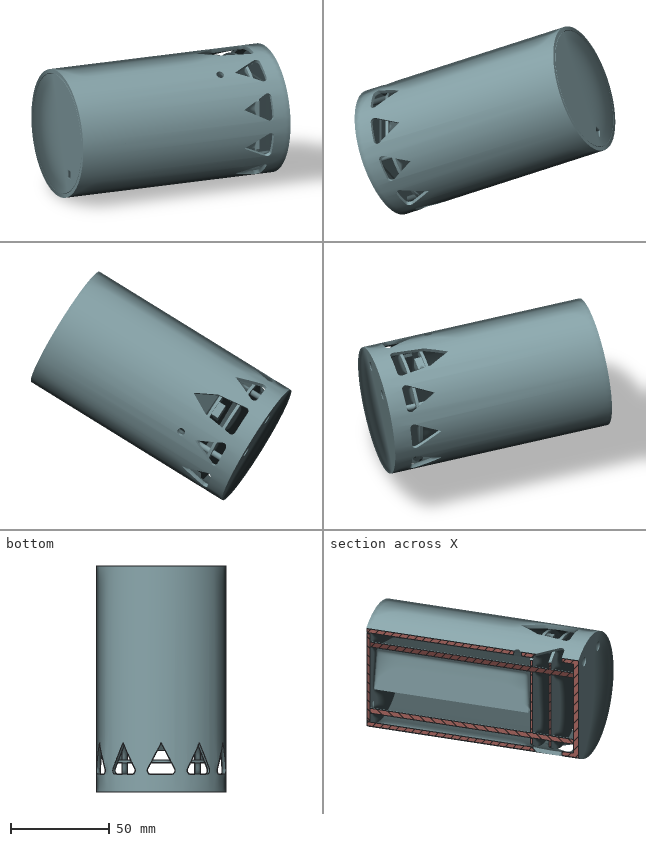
import cadquery as cq
import math

LENGTH = 115.0
OUTER_DIAMETER = 66.0
INNER_DIAMETER = 62.0
END_WALL = 3.0
INNER_END = LENGTH - END_WALL

WINDOW_COUNT = 10
WINDOW_PITCH = 360 / WINDOW_COUNT
WINDOW_BASE_Y = 105.9
WINDOW_HALF_WIDTH = 8.3
WINDOW_DEPTH = 15.9
WINDOW_CORNER_RADIUS = 2.0
TALL_WINDOW_APEX_Y = 77.0
TALL_WINDOW_SHOULDER_Y = 88.1
TALL_WINDOW_SHOULDER_HALF_WIDTH = 6.0

SIDE_HOLE_DIAMETER = 4.0
SIDE_HOLE_Y = 81.9
SIDE_HOLE_ANGLE = 90 - WINDOW_PITCH

END_HOLE_DIAMETER = 5.0
END_HOLE_X = 10.0
END_HOLE_Z = 23.0
PAD_HALF_WIDTH = 11.8
PAD_HALF_HEIGHT = 16.1
PAD_THICKNESS = 1.0

BASE_DIAMETER = 61.5
BASE_THICKNESS = 2.0

CONNECTOR_X = 12.5
CONNECTOR_BOARD_THICKNESS = 1.7
CONNECTOR_BOARD_WIDTH = 18.0
SOCKET_HEIGHT = 2.5
SOCKET_WIDTH = 9.0
CONNECTOR_DEPTH = CONNECTOR_BOARD_THICKNESS + SOCKET_HEIGHT

SQUARE_SIZE = CONNECTOR_DEPTH
SQUARE_TOP_Z = -15.6

DISC_DIAMETER = 60.0
DISC_THICKNESS = 1.5
BOARD_Y = 88.7
PLATE_Y = 98.7

FLAT_HALF_LENGTH = 12.6
FLAT_X = math.sqrt((DISC_DIAMETER / 2) ** 2 - FLAT_HALF_LENGTH**2)
LEG_INSET = 2.1
LEG_THICKNESS = 5.8

BLOCK_WIDTH = 7.5
BLOCK_LENGTH = 3.8
BLOCK_HEIGHT = 7.5
BLOCK_TOP_Z = 29.0

CELL_SIZE = 23.0
CELL_TOP_Y = 86.7
CELL_CHAMFER = 0.8
CELL_TURN = -13.0

ROD_DIAMETER = 3.0
ROD_OFFSET = 18.5


def along_y(y):
    """Workplane at the given Y whose extrusions go toward +Y; its local x is X and local y is -Z."""
    return cq.Workplane("XZ", origin=(0, y, 0)).transformed(rotate=(180, 0, 0))


def disc(diameter, y, thickness):
    return along_y(y).circle(diameter / 2).extrude(thickness)


def box(x_range, y_range, z_range):
    """Axis-aligned box between the given limits."""
    sizes = [high - low for low, high in (x_range, y_range, z_range)]
    corner = (x_range[0], y_range[0], z_range[0])
    return cq.Workplane("XY").box(*sizes, centered=False).translate(corner)


def turned(cutter, angle):
    """Turn a cutter that points along +Z so that it points at the given angle from +X toward +Z."""
    return cutter.rotate((0, 0, 0), (0, 1, 0), 90 - angle)


def window_cutter(side_points):
    """Prism along +Z: a straight back edge with rounded corners, closed through the given points."""
    corners = [(WINDOW_HALF_WIDTH, WINDOW_BASE_Y), (-WINDOW_HALF_WIDTH, WINDOW_BASE_Y)]
    prism = cq.Workplane("XY").polyline(corners + side_points).close().extrude(OUTER_DIAMETER)
    return prism.edges("|Z").edges(">Y").fillet(WINDOW_CORNER_RADIUS)


def rod_positions():
    return [(x, z) for x in (-ROD_OFFSET, ROD_OFFSET) for z in (-ROD_OFFSET, ROD_OFFSET)]


def make_rods(y_start, y_end):
    return along_y(y_start).pushPoints(rod_positions()).circle(ROD_DIAMETER / 2).extrude(y_end - y_start)


def make_shell():
    shell = disc(OUTER_DIAMETER, 0, LENGTH).cut(disc(INNER_DIAMETER, 0, INNER_END))

    window = window_cutter([(0, WINDOW_BASE_Y - WINDOW_DEPTH)])
    for i in range(1, WINDOW_COUNT):
        shell = shell.cut(turned(window, 90 + i * WINDOW_PITCH))

    tall_window = window_cutter(
        [
            (-TALL_WINDOW_SHOULDER_HALF_WIDTH, TALL_WINDOW_SHOULDER_Y),
            (0, TALL_WINDOW_APEX_Y),
            (TALL_WINDOW_SHOULDER_HALF_WIDTH, TALL_WINDOW_SHOULDER_Y),
        ]
    )
    shell = shell.cut(tall_window)

    side_hole = cq.Workplane("XY").center(0, SIDE_HOLE_Y).circle(SIDE_HOLE_DIAMETER / 2)
    shell = shell.cut(turned(side_hole.extrude(OUTER_DIAMETER), SIDE_HOLE_ANGLE))

    hole_points = [(x, -END_HOLE_Z) for x in (-END_HOLE_X, END_HOLE_X)]
    end_holes = along_y(INNER_END).pushPoints(hole_points).circle(END_HOLE_DIAMETER / 2)
    shell = shell.cut(end_holes.extrude(END_WALL))

    pad = box(
        (-PAD_HALF_WIDTH, PAD_HALF_WIDTH),
        (INNER_END - PAD_THICKNESS, INNER_END),
        (-PAD_HALF_HEIGHT, PAD_HALF_HEIGHT),
    )
    return shell.union(pad)


def make_connector():
    """T-shaped prism: the board against -X, its socket on the +X side."""
    board_end_x = CONNECTOR_X + CONNECTOR_BOARD_THICKNESS
    depth_range = (0, BASE_THICKNESS)
    board = box(
        (CONNECTOR_X, board_end_x),
        depth_range,
        (-CONNECTOR_BOARD_WIDTH / 2, CONNECTOR_BOARD_WIDTH / 2),
    )
    socket = box(
        (board_end_x, board_end_x + SOCKET_HEIGHT),
        depth_range,
        (-SOCKET_WIDTH / 2, SOCKET_WIDTH / 2),
    )
    return board.union(socket)


def make_base(connector):
    square = box(
        (CONNECTOR_X, CONNECTOR_X + SQUARE_SIZE),
        (0, BASE_THICKNESS),
        (SQUARE_TOP_Z - SQUARE_SIZE, SQUARE_TOP_Z),
    )
    return disc(BASE_DIAMETER, 0, BASE_THICKNESS).cut(connector).cut(square)


def make_board(rods):
    """Disc that the rods pass through, with the block raised on it."""
    board_top = BOARD_Y + DISC_THICKNESS
    block = box(
        (-BLOCK_WIDTH / 2, BLOCK_WIDTH / 2),
        (board_top, board_top + BLOCK_LENGTH),
        (BLOCK_TOP_Z - BLOCK_HEIGHT, BLOCK_TOP_Z),
    )
    return disc(DISC_DIAMETER, BOARD_Y, DISC_THICKNESS).union(block).cut(rods)


def make_plate(rods):
    """Disc with a flat and a leg on each X side, drilled for the rods."""
    flat_sided = box((-FLAT_X, FLAT_X), (PLATE_Y, PLATE_Y + DISC_THICKNESS), (-DISC_DIAMETER, DISC_DIAMETER))
    plate = disc(DISC_DIAMETER, PLATE_Y, DISC_THICKNESS).intersect(flat_sided)

    leg_outer_x = FLAT_X - LEG_INSET
    leg = box(
        (leg_outer_x - LEG_THICKNESS, leg_outer_x),
        (BOARD_Y + DISC_THICKNESS, PLATE_Y),
        (-FLAT_HALF_LENGTH, FLAT_HALF_LENGTH),
    )
    return plate.union(leg).union(leg.mirror("YZ")).cut(rods)


def make_cell():
    bar = along_y(BASE_THICKNESS).rect(CELL_SIZE, CELL_SIZE).extrude(CELL_TOP_Y - BASE_THICKNESS)
    bar = bar.faces("<Y or >Y").chamfer(CELL_CHAMFER)
    return bar.rotate((0, 0, 0), (0, 1, 0), CELL_TURN)


rods = make_rods(BASE_THICKNESS, INNER_END)
shell = make_shell()
connector = make_connector()
base = make_base(connector)
board = make_board(rods)
plate = make_plate(rods)
cell = make_cell()

result = cq.Compound.makeCompound(
    [
        shell.val(),
        base.val(),
        connector.val(),
        board.val(),
        plate.val(),
        cell.val(),
        *rods.vals(),
    ]
)